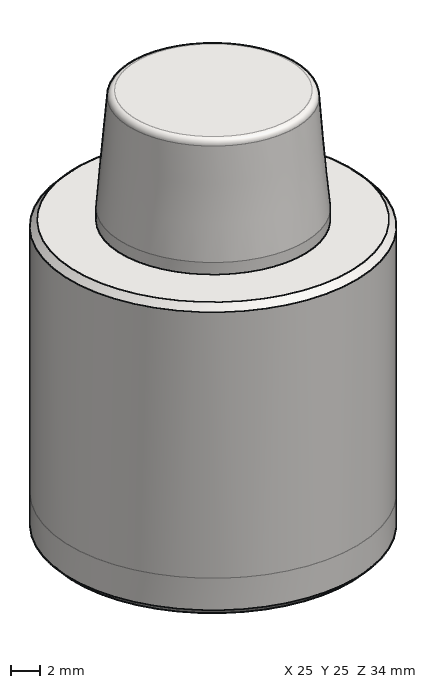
import cadquery as cq
import math

total_height = 34
body_diameter = 25.0
edge_chamfer = 0.5

base_height = 3.0

knob_height = 10.0
knob_diameter = 15.98
knob_straight_height = 0.95
knob_taper_angle = 5
knob_top_fillet = 0.5

body_radius = body_diameter / 2
body_top = total_height - knob_height
knob_radius = knob_diameter / 2


def make_base():
    """Bottom ring with a chamfered lower edge."""
    return cq.Workplane("XY").circle(body_radius).extrude(base_height).faces("<Z").chamfer(edge_chamfer)


def make_body():
    """Main cylinder with a chamfered upper edge."""
    return (
        cq.Workplane("XY", origin=(0, 0, base_height))
        .circle(body_radius)
        .extrude(body_top - base_height)
        .faces(">Z")
        .chamfer(edge_chamfer)
    )


def make_knob():
    """Short straight collar, then a cone rising to a rounded top edge."""
    cone_bottom = body_top + knob_straight_height
    cone_height = total_height - cone_bottom
    top_radius = knob_radius - cone_height * math.tan(math.radians(knob_taper_angle))
    return (
        cq.Workplane("XZ")
        .moveTo(0, body_top)
        .lineTo(knob_radius, body_top)
        .lineTo(knob_radius, cone_bottom)
        .lineTo(top_radius, total_height)
        .lineTo(0, total_height)
        .close()
        .revolve(360, (0, 0, 0), (0, 1, 0))
        .faces(">Z")
        .edges()
        .fillet(knob_top_fillet)
    )


result = make_base().union(make_body(), clean=False).union(make_knob(), clean=False)